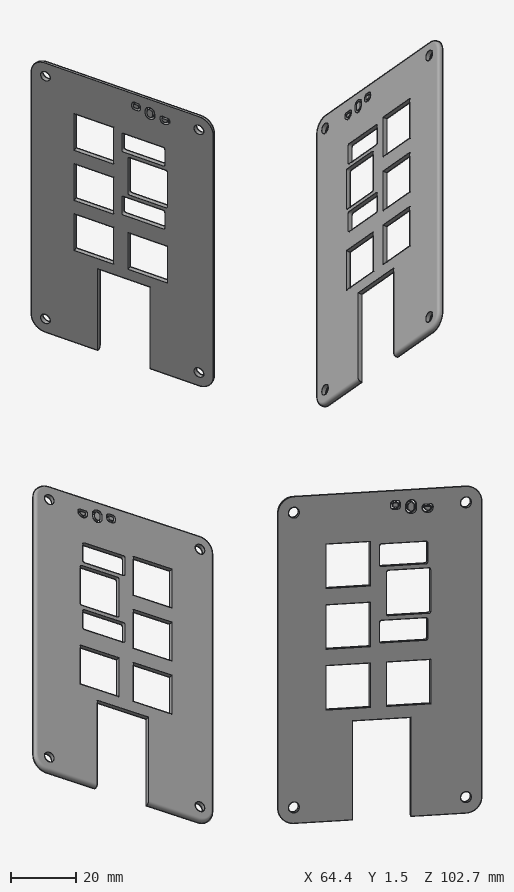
import cadquery as cq

plate_width = 64.4
plate_height = 102.7
plate_thickness = 1.5
corner_radius = 5.0
rear_edge_radius = 1.0

screw_hole_diameter = 3.4
screw_spacing_x = plate_width - 2 * corner_radius
screw_spacing_z = plate_height - 2 * corner_radius

key_size = 14.0
key_pitch = 19.1
left_column_x = -10.1
right_column_x = left_column_x + key_pitch
middle_row_z = 9.8
top_row_z = middle_row_z + key_pitch
bottom_row_z = middle_row_z - key_pitch

tall_key_height = 14.3
tall_key_z = (top_row_z + middle_row_z) / 2
slot_width = 15.2
slot_height = 7.1
slot_x = 7.5
slot_offset_z = 12.0
opening_corner_radius = 0.6

notch_width = 18.5
notch_depth = 31.1
notch_x = 0.6

island_gap = 0.7
block_island_width = 1.6
block_island_height = 1.3
block_island_corner_radius = 0.3
block_island_center = (4.9, 46.8)
oblong_island_width = 2.0
oblong_island_height = 2.9
oblong_island_center = (9.9, 46.0)
bowl_island_width = 2.0
bowl_island_height = 1.2
bowl_island_top_center = (15.1, 45.8)


def extrude_through(outline):
    """Extrude an XZ outline over the full plate thickness, centred on Y = 0."""
    return outline.extrude(plate_thickness / 2, both=True)


def rectangle_cutter(width, height, x, z):
    return extrude_through(cq.Workplane("XZ").center(x, z).rect(width, height))


def rounded_cutter(width, height, x, z):
    return rectangle_cutter(width, height, x, z).edges("|Y").fillet(opening_corner_radius)


def make_blank():
    """Rounded rectangle with its outer edge rounded over on the +Y face."""
    blank = rectangle_cutter(plate_width, plate_height, 0, 0)
    blank = blank.edges("|Y").fillet(corner_radius)
    return blank.faces(">Y").edges().fillet(rear_edge_radius)


def cut_screw_holes(plate):
    holes = cq.Workplane("XZ").rect(screw_spacing_x, screw_spacing_z, forConstruction=True)
    holes = holes.vertices().circle(screw_hole_diameter / 2)
    return plate.cut(extrude_through(holes))


def cut_key_openings(plate):
    key_centers = [
        (left_column_x, top_row_z),
        (left_column_x, middle_row_z),
        (left_column_x, bottom_row_z),
        (right_column_x, bottom_row_z),
    ]
    for x, z in key_centers:
        plate = plate.cut(rectangle_cutter(key_size, key_size, x, z))
    plate = plate.cut(rounded_cutter(key_size, tall_key_height, right_column_x, tall_key_z))
    for side in (-1, 1):
        slot_z = tall_key_z + side * slot_offset_z
        plate = plate.cut(rounded_cutter(slot_width, slot_height, slot_x, slot_z))
    return plate


def cut_notch(plate):
    notch_z = (notch_depth - plate_height) / 2
    return plate.cut(rectangle_cutter(notch_width, notch_depth, notch_x, notch_z))


def make_block_island(margin=0.0):
    """Rounded rectangle, grown by the margin on every side."""
    block = rectangle_cutter(
        block_island_width + 2 * margin,
        block_island_height + 2 * margin,
        *block_island_center,
    )
    return block.edges("|Y").fillet(block_island_corner_radius + margin)


def make_oblong_island(margin=0.0):
    """Upright oblong with round ends, grown by the margin on every side."""
    length = oblong_island_height + 2 * margin
    diameter = oblong_island_width + 2 * margin
    outline = cq.Workplane("XZ").center(*oblong_island_center).slot2D(length, diameter, 90)
    return extrude_through(outline)


def make_bowl_island(margin=0.0):
    """Flat-topped bowl with a round underside, grown by the margin on every side."""
    outline = (
        cq.Workplane("XZ")
        .center(*bowl_island_top_center)
        .moveTo(-bowl_island_width / 2, 0)
        .threePointArc((0, -bowl_island_height), (bowl_island_width / 2, 0))
        .close()
    )
    if margin > 0:
        outline = outline.offset2D(margin)
    return extrude_through(outline)


island_makers = (make_block_island, make_oblong_island, make_bowl_island)

plate = make_blank()
plate = cut_screw_holes(plate)
plate = cut_key_openings(plate)
plate = cut_notch(plate)
for make_island in island_makers:
    plate = plate.cut(make_island(island_gap))

islands = [make_island().val() for make_island in island_makers]

result = cq.Compound.makeCompound([plate.val(), *islands])